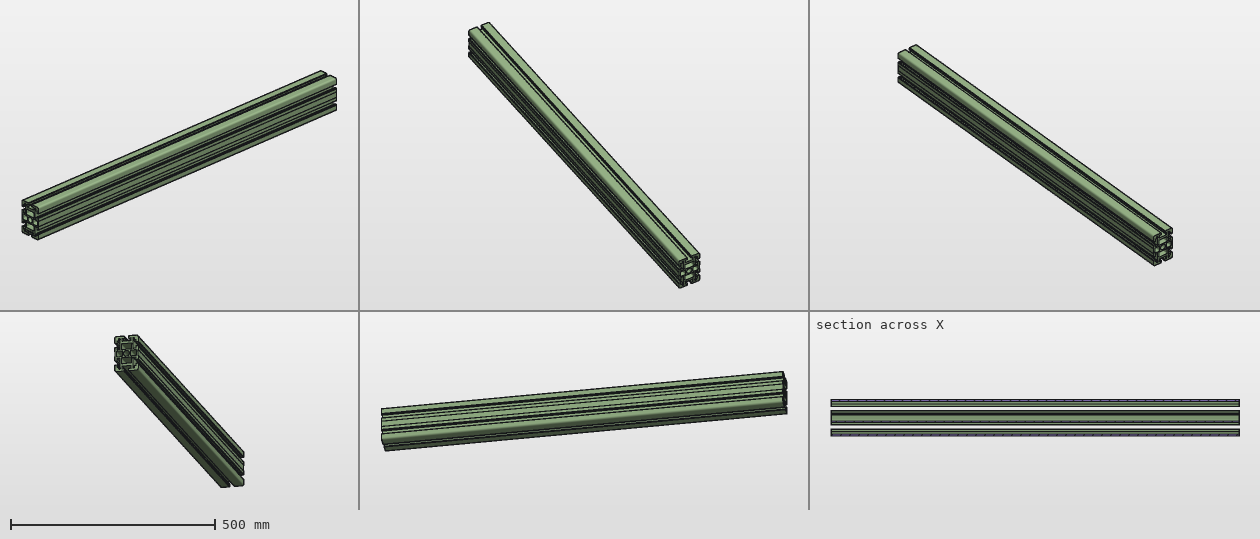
import cadquery as cq

WIDTH = 60.0
LENGTH = 1000.0
HEIGHT = 90.0
CORNER_RADIUS = 5.0

SIDE_SLOT_LEVEL = HEIGHT / 4
SLOT_GAP = 10.0
MOUTH_WIDTH = 13.0
MOUTH_DEPTH = (MOUTH_WIDTH - SLOT_GAP) / 2
LIP_THICKNESS = 6.0
CHAMBER_WIDTH = 22.0
SLOT_DEPTH = 13.0

CENTRE_BORE = 15.0
HOLLOW_OFFSET = 18.0
SIDE_HOLLOW_SIZE = 15.0
SIDE_HOLLOW_RADIUS = 3.0
MAIN_HOLLOW_WIDTH = 26.0
MAIN_HOLLOW_HEIGHT = 15.0
MAIN_HOLLOW_RADIUS = 2.0

CORNER_BORE = 4.0
CORNER_BORE_X = WIDTH / 2 - 12.0
CORNER_BORE_Z = HEIGHT / 2 - 8.0

GROOVE_WIDTH = 15.0
GROOVE_DEPTH = 0.5


def bar(outline):
    """Extrude an X-Z outline over the full length, centred on Y."""
    return outline.extrude(LENGTH / 2, both=True)


def box_bar(x, z, width, height):
    return bar(cq.Workplane("XZ").center(x, z).rect(width, height))


def rounded_bar(x, z, width, height, radius):
    return box_bar(x, z, width, height).edges("|Y").fillet(radius)


def round_bar(x, z, diameter):
    return bar(cq.Workplane("XZ").center(x, z).circle(diameter / 2))


def t_slot(x, z, turn):
    """T-slot with its mouth at (x, z), turned about Y from opening upwards."""
    half_gap = SLOT_GAP / 2
    half_chamber = CHAMBER_WIDTH / 2
    right_half = [
        (MOUTH_WIDTH / 2, 0),
        (half_gap, -MOUTH_DEPTH),
        (half_gap, -LIP_THICKNESS),
        (half_chamber, -LIP_THICKNESS),
        (half_chamber, -SLOT_DEPTH),
    ]
    left_half = [(-px, pz) for px, pz in reversed(right_half)]
    slot = bar(cq.Workplane("XZ").polyline(right_half + left_half).close())
    return slot.rotate((0, 0, 0), (0, 1, 0), turn).translate((x, 0, z))


result = rounded_bar(0, 0, WIDTH, HEIGHT, CORNER_RADIUS)
result = result.cut(round_bar(0, 0, CENTRE_BORE))

for side, turn in ((1, 0), (-1, 180)):
    result = result.cut(t_slot(0, side * HEIGHT / 2, turn))
    main_hollow = rounded_bar(
        0, side * HOLLOW_OFFSET, MAIN_HOLLOW_WIDTH, MAIN_HOLLOW_HEIGHT, MAIN_HOLLOW_RADIUS
    )
    result = result.cut(main_hollow)

for side in (-1, 1):
    side_hollow = rounded_bar(
        side * HOLLOW_OFFSET, 0, SIDE_HOLLOW_SIZE, SIDE_HOLLOW_SIZE, SIDE_HOLLOW_RADIUS
    )
    result = result.cut(side_hollow)
    result = result.cut(box_bar(side * WIDTH / 2, 0, 2 * GROOVE_DEPTH, GROOVE_WIDTH))
    for level in (-1, 1):
        result = result.cut(t_slot(side * WIDTH / 2, level * SIDE_SLOT_LEVEL, side * 90))
        result = result.cut(round_bar(side * CORNER_BORE_X, level * CORNER_BORE_Z, CORNER_BORE))